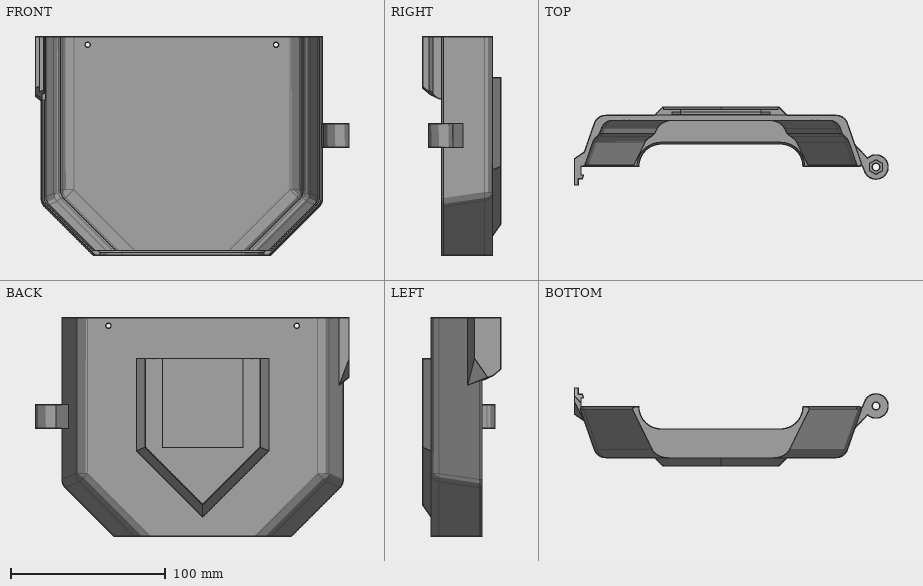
import cadquery as cq
import math


height = 141.5
depth = 33.0
wall = 3.2
draft = 19.2
rim_half_width = 91.5
rim_shoulder = 108.0
edge_radius = 8.0
rim_chamfer = 1.6
inner_rim_chamfer = 0.6
inner_rim_angle = 45
corner_share = math.tan(math.radians(22.5))

thick_wall = 5.7
step_depth = 12.2
step_chamfer = 1.2
step_edge_reach = 1.6

arch_half_width = 53.0
arch_depth = 18.7
arch_chamfer = 1.2

hole_diameter = 3.2
hole_spacing = 121.8
hole_drop = 5.3

mount_height = 5.5
mount_half_width = 37.4
mount_top = 26.5
mount_shoulder = 83.8
recess_margin = 0.5
recess_depth = 1.6
slot_half_width = 31.7
slot_outer = 2.2
slot_inner = 0.5
neck_half_width = 26.0

latch_left = -94.8
latch_front = 45.3
latch_back = 28.2
latch_root = 23.7
latch_tip_width = 2.6
latch_inner = -90.3
lip_back = 38.5
lip_front = 41.2
lip_tip = -88.7
lip_foot = -89.5
latch_length = 48.7
front_corner_z = -33.3
front_inner_z = -32.3
bend_y = -40.2
bend_z = -37.5
low_corner_y = -36.5
low_corner_z = -38.5
back_corner_z = -26.4
root_corner_z = -43.6

hinge_radius = 8.0
hinge_x = 100.3
hinge_y = -33.5
hinge_top = -56.2
hinge_height = 15.5
pin_diameter = 4.9
nut_width = 8.1
nut_depth = 8.1
web_root = 19.0

overrun = 30.5
overlap = 1.0
beyond = 203.0


def wall_x(y_depth):
    """Distance of the outer side wall from the symmetry plane."""
    return rim_half_width - (depth - y_depth) * math.tan(math.radians(draft))


def z_slab(bottom, top):
    """Large block between two heights."""
    return cq.Workplane("XY", origin=(0, 0, bottom)).rect(2 * beyond, 2 * beyond).extrude(top - bottom)


def drafted_block(back, inset, slope=draft):
    """Block with 45-degree lower corners that narrows from the rim to a depth behind it."""
    half = rim_half_width - inset
    shoulder = rim_shoulder - inset * corner_share
    floor = height + overrun
    foot = half - (floor - shoulder)
    points = [
        (half, overrun), (half, -shoulder), (foot, -floor),
        (-foot, -floor), (-half, -shoulder), (-half, overrun),
    ]
    block = (
        cq.Workplane("XZ", origin=(0, -depth, 0))
        .polyline(points).close()
        .extrude(back - depth, taper=slope)
    )
    rounded = cq.selectors.BoxSelector(
        (-beyond, overlap - depth, -height), (beyond, overlap, 0)
    )
    return block.edges(rounded).fillet(edge_radius)


def make_cavity():
    """Inside of the shell: a narrow back part, a stepped wider front part and a bevelled rim."""
    cavity = drafted_block(wall, thick_wall).union(drafted_block(step_depth, wall))
    step_edges = cq.selectors.BoxSelector(
        (-beyond, -step_depth - step_edge_reach, -height), (beyond, -step_depth, overrun)
    )
    cavity = cavity.edges(step_edges).chamfer(step_chamfer)
    cavity = cavity.union(drafted_block(step_depth, wall - inner_rim_chamfer, inner_rim_angle))
    return cavity.intersect(z_slab(wall - height, overrun))


def make_shell():
    outer = drafted_block(0, 0).intersect(z_slab(-height, 0))
    outer = outer.faces("<Y").edges("not |X").chamfer(rim_chamfer)
    return outer.cut(make_cavity())


def arch_outline(bottom):
    """Opening with two quarter-round shoulders, drawn on a horizontal plane."""
    radius = depth - arch_depth
    flat = arch_half_width - radius
    diagonal = radius * math.sqrt(0.5)
    front = -depth - overrun
    return (
        cq.Workplane("XY", origin=(0, 0, bottom))
        .moveTo(-arch_half_width, front)
        .lineTo(-arch_half_width, -depth)
        .threePointArc((-flat - diagonal, diagonal - depth), (-flat, -arch_depth))
        .lineTo(flat, -arch_depth)
        .threePointArc((flat + diagonal, diagonal - depth), (arch_half_width, -depth))
        .lineTo(arch_half_width, front)
        .close()
    )


def make_arch():
    """Cutter for the arch, widened at 45 degrees along its upper edge."""
    opening = arch_outline(-height).extrude(wall)
    bevel = arch_outline(wall - height - arch_chamfer).extrude(arch_chamfer, taper=-45)
    return opening.union(bevel)


def make_holes():
    return (
        cq.Workplane("XZ")
        .pushPoints([(side * hole_spacing / 2, -hole_drop) for side in (-1, 1)])
        .circle(hole_diameter / 2)
        .extrude(wall)
    )


def shield(y, half_width, shoulder):
    """Outline with straight sides and a 45-degree point at the bottom."""
    return (
        cq.Workplane("XZ", origin=(0, y, 0))
        .polyline([
            (-half_width, 0), (half_width, 0), (half_width, -shoulder),
            (0, -shoulder - half_width), (-half_width, -shoulder),
        ])
        .close()
    )


def make_mount():
    base_shoulder = mount_shoulder + mount_height * corner_share
    body = shield(0, mount_half_width + mount_height, base_shoulder).extrude(-mount_height, taper=45)
    body = body.intersect(z_slab(-height, -mount_top))

    recess = shield(mount_height, mount_half_width - recess_margin, mount_shoulder).extrude(recess_depth)

    neck = (
        cq.Workplane("XZ", origin=(0, mount_height, 0))
        .rect(2 * neck_half_width, 2 * mount_shoulder)
        .extrude(mount_height - slot_inner)
    )

    slot_floor = mount_shoulder + slot_half_width - neck_half_width
    slot = (
        cq.Workplane("XZ", origin=(0, slot_outer, 0))
        .polyline([
            (-slot_half_width, 0), (slot_half_width, 0), (slot_half_width, -mount_shoulder),
            (neck_half_width, -slot_floor), (-neck_half_width, -slot_floor),
            (-slot_half_width, -mount_shoulder),
        ])
        .close()
        .extrude(slot_outer - slot_inner)
    )
    return body.cut(recess).cut(neck).cut(slot)


def space_below(a, b, c):
    """Large block on the lower side of the plane through three points."""
    along = cq.Vector(*b) - cq.Vector(*a)
    normal = along.cross(cq.Vector(*c) - cq.Vector(*a))
    if normal.z > 0:
        normal = normal * -1
    plane = cq.Plane(origin=a, xDir=along, normal=normal)
    return cq.Workplane(plane).rect(beyond, beyond).extrude(beyond)


def make_latch():
    tip_right = latch_left + latch_tip_width
    root_x = -wall_x(latch_root)
    profile = [
        (root_x, -latch_root),
        (latch_left, -latch_back),
        (latch_left, -latch_front),
        (tip_right, -latch_front),
        (tip_right, -lip_front),
        (lip_foot, -lip_front),
        (lip_tip, -lip_back),
        (latch_inner, -lip_back),
        (latch_inner, -depth),
        (wall - rim_half_width, -depth),
        (root_x + overlap, -latch_root),
    ]
    latch = cq.Workplane("XY").polyline(profile).close().extrude(-latch_length)

    front_corner = (latch_left, -latch_front, front_corner_z)
    front_inner = (tip_right, -latch_front, front_inner_z)
    bend = (latch_left, bend_y, bend_z)
    low_corner = (latch_left, low_corner_y, low_corner_z)
    back_corner = (latch_left, -latch_back, back_corner_z)
    root_corner = (root_x, -latch_root, root_corner_z)
    latch = latch.cut(space_below(front_corner, front_inner, bend))
    latch = latch.cut(space_below(bend, low_corner, root_corner))
    return latch.cut(space_below(back_corner, low_corner, root_corner))


def make_hinge():
    tangent_x = hinge_x - hinge_radius * math.cos(math.radians(draft))
    tangent_y = hinge_y - hinge_radius * math.sin(math.radians(draft))
    inner_depth = depth - rim_chamfer
    root_x = wall_x(web_root)
    web = (
        cq.Workplane("XY", origin=(0, 0, hinge_top))
        .polyline([
            (root_x, -web_root),
            (hinge_x, hinge_y),
            (tangent_x, tangent_y),
            (wall_x(depth), -depth),
            (wall_x(inner_depth) - overlap, -inner_depth),
            (root_x - overlap, -web_root),
        ])
        .close()
        .extrude(-hinge_height)
    )
    axis = cq.Workplane("XY", origin=(hinge_x, hinge_y, hinge_top))
    barrel = axis.circle(hinge_radius).extrude(-hinge_height)
    pin = axis.circle(pin_diameter / 2).extrude(-hinge_height)
    nut_corners = nut_width / math.cos(math.radians(30))
    nut = axis.transformed(rotate=(0, 0, 30)).polygon(6, nut_corners).extrude(-nut_depth)
    return barrel.union(web).cut(pin).cut(nut)


result = (
    make_shell()
    .cut(make_arch())
    .cut(make_holes())
    .union(make_mount())
    .union(make_latch())
    .union(make_hinge())
)